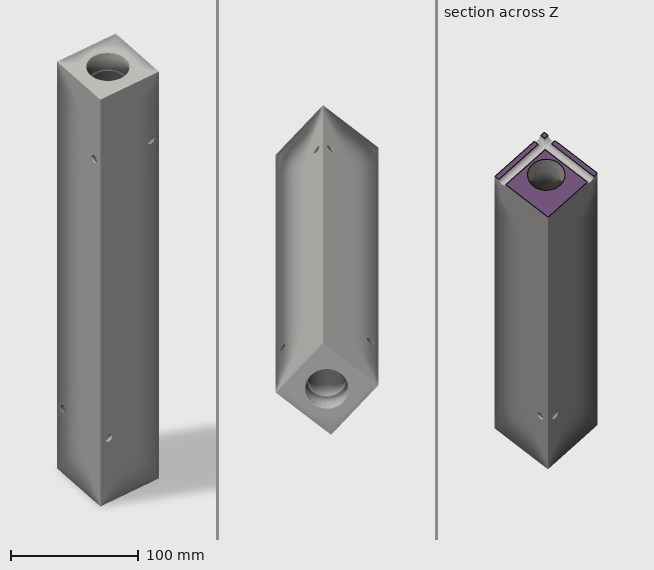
import cadquery as cq

length = 419.0
side = 57.0

bore_diameter = 29.0
seat_top_diameter = 33.5
seat_floor_diameter = 32.3
seat_depth = 16.8
mouth_chamfer = 0.5

cross_hole_diameter = 7.0
cross_hole_offset = 20.5
cross_hole_height = 143.0


def tapered_seat():
    """Cutter for the top end: a cone that opens upward, flared by a 45 degree chamfer at its mouth."""
    top = length / 2
    top_radius = seat_top_diameter / 2
    half_section = (
        cq.Workplane("XZ")
        .moveTo(0, top)
        .lineTo(top_radius + mouth_chamfer, top)
        .lineTo(top_radius, top - mouth_chamfer)
        .lineTo(seat_floor_diameter / 2, top - seat_depth)
        .lineTo(0, top - seat_depth)
        .close()
    )
    return half_section.revolve(360, (0, 0, 0), (0, 1, 0))


def cross_hole_along_y(x, z):
    """Round cutter passing through the bar from front to back."""
    profile = cq.Workplane("XZ").center(x, z).circle(cross_hole_diameter / 2)
    return profile.extrude(side, both=True)


def cross_hole_along_x(y, z):
    """Round cutter passing through the bar from side to side."""
    profile = cq.Workplane("YZ").center(y, z).circle(cross_hole_diameter / 2)
    return profile.extrude(side, both=True)


bar = cq.Workplane("XY").box(side, side, length)
bar = bar.faces(">Z").workplane().hole(bore_diameter)

top_seat = tapered_seat()
bar = bar.cut(top_seat)
bar = bar.cut(top_seat.mirror("XY"))

for end in (-1, 1):
    offset = end * cross_hole_offset
    height = end * cross_hole_height
    bar = bar.cut(cross_hole_along_y(offset, height))
    bar = bar.cut(cross_hole_along_x(offset, height))

result = bar